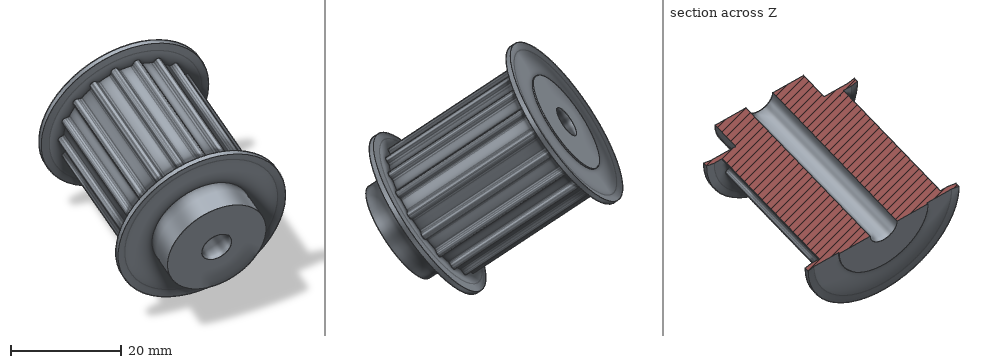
import cadquery as cq
import math


total_length = 38.0
flanged_length = 32.0
rim_thickness = 1.0
dish_depth = 0.25

flange_radius = 34.0 / 2
bend_radius = 15.5
hub_radius = 20.0 / 2
bore_radius = 6.0 / 2

tooth_count = 18
tip_radius = 13.68
root_radius = 12.58
crest_width = 0.15
tip_round = 0.6
root_fillet = 0.4
flank_angle = math.radians(18)

tooth_pitch = 2 * math.pi / tooth_count
mid_x = flanged_length / 2


def polar(radius, angle):
    return (radius * math.cos(angle), radius * math.sin(angle))


def offset(point, distance, angle):
    step = polar(distance, angle)
    return (point[0] + step[0], point[1] + step[1])


def half_tooth():
    """Points from crest to groove floor of a tooth centred on the first axis, on its positive side."""
    normal = math.pi / 2 - flank_angle
    round_center = (tip_radius - tip_round, crest_width / 2)

    fillet_center_distance = root_radius + root_fillet
    flank_distance = (
        tip_round + round_center[0] * math.cos(normal) + round_center[1] * math.sin(normal)
    )
    fillet_angle = normal - math.acos((flank_distance + root_fillet) / fillet_center_distance)
    fillet_center = polar(fillet_center_distance, fillet_angle)

    crest_end = offset(round_center, tip_round, 0)
    round_middle = offset(round_center, tip_round, normal / 2)
    flank_top = offset(round_center, tip_round, normal)
    flank_bottom = offset(fillet_center, -root_fillet, normal)
    fillet_middle = offset(fillet_center, -root_fillet, (normal + fillet_angle) / 2)
    root_end = polar(root_radius, fillet_angle)
    return crest_end, round_middle, flank_top, flank_bottom, fillet_middle, root_end


def turned(point, angle):
    return polar(math.hypot(*point), math.atan2(point[1], point[0]) + angle)


def mirrored(point):
    return (point[0], -point[1])


def toothed_drum():
    crest_end, round_middle, flank_top, flank_bottom, fillet_middle, root_end = half_tooth()
    outline = cq.Workplane("YZ").moveTo(*mirrored(root_end))
    for tooth in range(tooth_count):
        angle = tooth * tooth_pitch
        next_start = turned(mirrored(root_end), angle + tooth_pitch)
        groove_middle = polar(root_radius, angle + tooth_pitch / 2)
        outline = (
            outline
            .threePointArc(turned(mirrored(fillet_middle), angle), turned(mirrored(flank_bottom), angle))
            .lineTo(*turned(mirrored(flank_top), angle))
            .threePointArc(turned(mirrored(round_middle), angle), turned(mirrored(crest_end), angle))
            .lineTo(*turned(crest_end, angle))
            .threePointArc(turned(round_middle, angle), turned(flank_top, angle))
            .lineTo(*turned(flank_bottom, angle))
            .threePointArc(turned(fillet_middle, angle), turned(root_end, angle))
            .threePointArc(groove_middle, next_start)
        )
    drum_start = dish_depth + rim_thickness / 2
    drum_length = flanged_length - 2 * drum_start
    return outline.close().extrude(drum_length).translate((drum_start, 0, 0))


def left_flange():
    """Sheet disc whose outer ring leans toward -X."""
    section = [
        (dish_depth, 0),
        (dish_depth, bend_radius),
        (0, flange_radius),
        (rim_thickness, flange_radius),
        (rim_thickness + dish_depth, bend_radius),
        (rim_thickness + dish_depth, 0),
    ]
    return cq.Workplane("XY").polyline(section).close().revolve(360, (0, 0, 0), (1, 0, 0))


hub = cq.Workplane("YZ").circle(hub_radius).extrude(total_length)
bore = cq.Workplane("YZ").circle(bore_radius).extrude(total_length)
right_flange = left_flange().mirror("YZ", (mid_x, 0, 0))

result = toothed_drum().union(left_flange()).union(right_flange).union(hub).cut(bore)